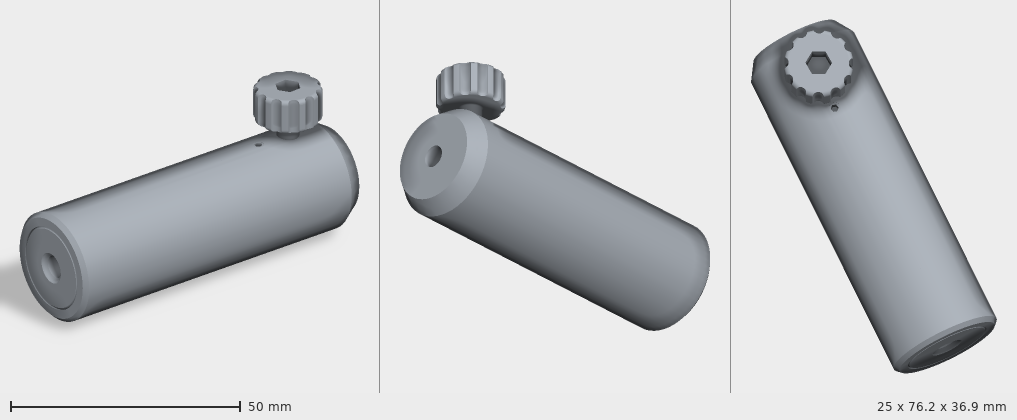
import cadquery as cq
import math


BARREL_LENGTH = 76.2
BARREL_DIAMETER = 25.0
BARREL_RADIUS = BARREL_DIAMETER / 2
FRONT_CHAMFER = 1.0
BACK_TAPER_LENGTH = 4.0
BACK_DIAMETER = 20.0
BORE_DIAMETER = 5.0

PLUG_DIAMETER = 19.05
PLUG_THICKNESS = 5.0
PLUG_CHAMFER = 0.45
COUNTERSINK_DIAMETER = 7.0
COUNTERSINK_DEPTH = (COUNTERSINK_DIAMETER - BORE_DIAMETER) / 2

SCREW_Y = BARREL_LENGTH - 12.0
STEM_DIAMETER = 5.0
STEM_TIP_Z = BORE_DIAMETER / 2
NECK_FILLET = 0.3
KNOB_DIAMETER = 15.1
KNOB_HEIGHT = 8.0
KNOB_TOP_Z = 24.4
KNOB_BOTTOM_Z = KNOB_TOP_Z - KNOB_HEIGHT
KNOB_FILLET = 1.0
KNOB_TURN = 3.5
FLUTE_COUNT = 12
FLUTE_RADIUS = 1.3
FLUTE_DEPTH = 1.0
FLUTE_CENTER_RADIUS = KNOB_DIAMETER / 2 - FLUTE_DEPTH + FLUTE_RADIUS
KNOB_SOCKET_FLATS = 5.0
KNOB_SOCKET_DEPTH = 5.0

SET_SCREW_Y = BARREL_LENGTH - 20.0
SET_SCREW_DIAMETER = 2.5
SET_SCREW_LENGTH = 4.0
SET_SCREW_RECESS = 0.1
SET_SCREW_TOP_Z = BARREL_RADIUS - SET_SCREW_RECESS
SET_SCREW_BOTTOM_Z = SET_SCREW_TOP_Z - SET_SCREW_LENGTH
SET_SOCKET_FLATS = 1.5
SET_SOCKET_DEPTH = 2.0
SET_SOCKET_TURN = 15.0


def y_cylinder(diameter, length):
    """Cylinder on the barrel axis, from the front face toward +Y."""
    return cq.Workplane("XZ").circle(diameter / 2).extrude(-length)


def z_cylinder(diameter, y, bottom, top):
    """Upright cylinder above the barrel axis."""
    return cq.Workplane("XY", origin=(0, y, bottom)).circle(diameter / 2).extrude(top - bottom)


def hex_socket(flats, depth, y, top, turn):
    """Hexagonal cutter with two corners toward +Y and -Y, then turned about Z."""
    corners = flats / math.cos(math.pi / 6)
    prism = cq.Workplane("XY").polygon(6, corners).extrude(-depth)
    return prism.rotate((0, 0, 0), (0, 0, 1), 30 + turn).translate((0, y, top))


def make_barrel():
    profile = [
        (0, 0),
        (BARREL_RADIUS - FRONT_CHAMFER, 0),
        (BARREL_RADIUS, FRONT_CHAMFER),
        (BARREL_RADIUS, BARREL_LENGTH - BACK_TAPER_LENGTH),
        (BACK_DIAMETER / 2, BARREL_LENGTH),
        (0, BARREL_LENGTH),
    ]
    body = cq.Workplane("XY").polyline(profile).close().revolve(360, (0, 0, 0), (0, 1, 0))
    bore = y_cylinder(BORE_DIAMETER, BARREL_LENGTH)
    plug_recess = y_cylinder(PLUG_DIAMETER, PLUG_THICKNESS)
    stem_hole = z_cylinder(STEM_DIAMETER, SCREW_Y, 0, KNOB_BOTTOM_Z)
    set_screw_hole = z_cylinder(SET_SCREW_DIAMETER, SET_SCREW_Y, SET_SCREW_BOTTOM_Z, KNOB_BOTTOM_Z)
    return body.cut(bore).cut(plug_recess).cut(stem_hole).cut(set_screw_hole)


def make_plug():
    disc = y_cylinder(PLUG_DIAMETER, PLUG_THICKNESS).faces("<Y").edges().chamfer(PLUG_CHAMFER)
    hole = y_cylinder(BORE_DIAMETER, PLUG_THICKNESS)
    drilled = disc.cut(hole)
    mouth = cq.selectors.RadiusNthSelector(0)
    return drilled.faces("<Y").edges(mouth).chamfer(COUNTERSINK_DEPTH)


def make_thumbscrew():
    knob = z_cylinder(KNOB_DIAMETER, SCREW_Y, KNOB_BOTTOM_Z, KNOB_TOP_Z).edges().fillet(KNOB_FILLET)
    stem = z_cylinder(STEM_DIAMETER, SCREW_Y, STEM_TIP_Z, KNOB_BOTTOM_Z)
    screw = knob.union(stem)
    neck = cq.selectors.NearestToPointSelector((0, SCREW_Y, KNOB_BOTTOM_Z))
    screw = screw.edges(neck).fillet(NECK_FILLET)
    flutes = (
        cq.Workplane("XY", origin=(0, SCREW_Y, KNOB_BOTTOM_Z))
        .polarArray(FLUTE_CENTER_RADIUS, KNOB_TURN, 360, FLUTE_COUNT)
        .circle(FLUTE_RADIUS)
        .extrude(KNOB_HEIGHT)
    )
    socket = hex_socket(KNOB_SOCKET_FLATS, KNOB_SOCKET_DEPTH, SCREW_Y, KNOB_TOP_Z, KNOB_TURN)
    return screw.cut(flutes).cut(socket)


def make_set_screw():
    body = z_cylinder(SET_SCREW_DIAMETER, SET_SCREW_Y, SET_SCREW_BOTTOM_Z, SET_SCREW_TOP_Z)
    socket = hex_socket(SET_SOCKET_FLATS, SET_SOCKET_DEPTH, SET_SCREW_Y, SET_SCREW_TOP_Z, SET_SOCKET_TURN)
    return body.cut(socket)


barrel = make_barrel().solids()
plug = make_plug().solids()
thumbscrew = make_thumbscrew().solids()
set_screw = make_set_screw().solids()

result = cq.Compound.makeCompound([barrel.val(), plug.val(), thumbscrew.val(), set_screw.val()])